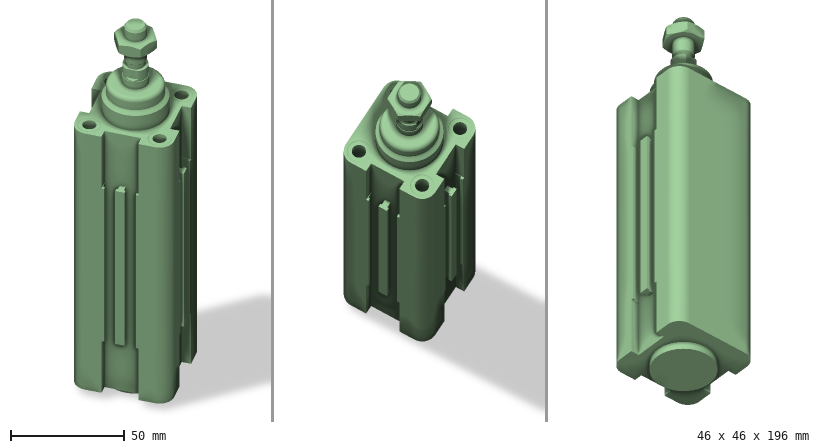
import cadquery as cq
import math

total_height = 196.0
boss_height = 4.0
cap_height = 29.0
barrel_height = 86.0
collar_height = 16.0
rear_cap_base = boss_height
barrel_base = rear_cap_base + cap_height
front_cap_base = barrel_base + barrel_height
front_cap_top = front_cap_base + cap_height
collar_top = front_cap_top + collar_height

body_width = 46.0
screw_pitch = 32.5
corner_radius = (body_width - screw_pitch) / 2
slot_depth = 4.3
cap_slot_width = 17.0
slot_sides = (0, 90, -90)

barrel_slot_width = 16.5
slot_mouth_width = 14.7
lip_thickness = 1.4
rail_head_width = 4.3
rail_neck_width = 2.7
rail_head_thickness = 1.5

boss_diameter = 30.0
collar_diameter = 26.0
collar_shoulder_height = 8.2
collar_taper_height = 1.8
collar_fillet = 2.0

screw_ring_diameter = 10.5
screw_ring_depth = 0.2
screw_ring_floor_diameter = 10.0
screw_hole_diameter = 6.3
screw_hole_depth = 15.7
drill_point_angle = 118.0

rod_diameter = 12.0
shank_diameter = 11.5
shank_base = 168.2
flats_base = 169.3
shank_top = 174.0
flats_width = 10.0
relief_diameter = 8.8
thread_base = 177.0
thread_diameter = 10.0
thread_chamfer = (thread_diameter - relief_diameter) / 2
tip_chamfer = 0.8
tip_chamfer_height = 1.2

nut_width = 17.0
nut_base = 184.0
nut_height = 5.9
nut_chamfer_angle = 30.0


def square_bar(base, height):
    bar = cq.Workplane("XY", origin=(0, 0, base)).rect(body_width, body_width).extrude(height)
    return bar.edges("|Z").fillet(corner_radius)


def cut_on_slot_sides(bar, cutter):
    for turn in slot_sides:
        bar = bar.cut(cutter.rotate((0, 0, 0), (0, 0, 1), turn))
    return bar


def slot_block(width, depth_from, depth_to, base, height):
    """Block along Z centred on the -Y side, between two depths below that side."""
    return (
        cq.Workplane("XY", origin=(0, 0, base))
        .center(0, -body_width / 2 + (depth_from + depth_to) / 2)
        .rect(width, depth_to - depth_from)
        .extrude(height)
    )


def make_cap(base):
    slot = slot_block(cap_slot_width, 0, slot_depth, base, cap_height)
    return cut_on_slot_sides(square_bar(base, cap_height), slot)


def make_rear_cap():
    boss = cq.Workplane("XY").circle(boss_diameter / 2).extrude(boss_height)
    return make_cap(rear_cap_base).union(boss)


def make_collar():
    shoulder_top = front_cap_top + collar_shoulder_height
    profile = [
        (0, front_cap_top),
        (boss_diameter / 2, front_cap_top),
        (boss_diameter / 2, shoulder_top),
        (collar_diameter / 2, shoulder_top + collar_taper_height),
        (collar_diameter / 2, collar_top),
        (0, collar_top),
    ]
    collar = cq.Workplane("XZ").polyline(profile).close().revolve(360, (0, 0), (0, 1))
    return collar.faces(">Z").edges().fillet(collar_fillet)


def make_screw_hole():
    """Drilled hole with a conical end and a shallow bevelled spot face, centred on the Z axis."""
    hole_radius = screw_hole_diameter / 2
    point_height = hole_radius / math.tan(math.radians(drill_point_angle / 2))
    hole_end = front_cap_top - screw_hole_depth
    profile = [
        (0, front_cap_top),
        (screw_ring_diameter / 2, front_cap_top),
        (screw_ring_floor_diameter / 2, front_cap_top - screw_ring_depth),
        (hole_radius, front_cap_top - screw_ring_depth),
        (hole_radius, hole_end),
        (0, hole_end - point_height),
    ]
    return cq.Workplane("XZ").polyline(profile).close().revolve(360, (0, 0), (0, 1))


def make_front_cap():
    cap = make_cap(front_cap_base).union(make_collar())
    screw_hole = make_screw_hole()
    for x in (-screw_pitch / 2, screw_pitch / 2):
        for y in (-screw_pitch / 2, screw_pitch / 2):
            cap = cap.cut(screw_hole.translate((x, y, 0)))
    rod_bore = (
        cq.Workplane("XY", origin=(0, 0, front_cap_base))
        .circle(rod_diameter / 2)
        .extrude(collar_top - front_cap_base)
    )
    return cap.cut(rod_bore)


def make_barrel():
    mouth = slot_block(slot_mouth_width, 0, lip_thickness, barrel_base, barrel_height)
    groove = slot_block(barrel_slot_width, lip_thickness, slot_depth, barrel_base, barrel_height)
    rail_head = slot_block(rail_head_width, 0, rail_head_thickness, barrel_base, barrel_height)
    rail_neck = slot_block(rail_neck_width, 0, slot_depth, barrel_base, barrel_height)
    cutter = mouth.union(groove).cut(rail_head).cut(rail_neck)
    return cut_on_slot_sides(square_bar(barrel_base, barrel_height), cutter)


def make_flat_cutter():
    """Cutter for the wrench flat facing +Y, with a 45 degree run-out at its lower end."""
    flat_y = flats_width / 2
    runout = (shank_diameter - flats_width) / 2
    profile = [
        (flat_y, shank_top),
        (flat_y, flats_base),
        (flat_y + runout, flats_base - runout),
        (flat_y + runout, shank_top),
    ]
    return cq.Workplane("YZ").polyline(profile).close().extrude(shank_diameter / 2, both=True)


def make_rod():
    rod_radius = rod_diameter / 2
    shank_radius = shank_diameter / 2
    relief_radius = relief_diameter / 2
    thread_radius = thread_diameter / 2
    profile = [
        (0, front_cap_base),
        (rod_radius, front_cap_base),
        (rod_radius, shank_base),
        (shank_radius, shank_base),
        (shank_radius, shank_top),
        (relief_radius, shank_top),
        (relief_radius, thread_base - thread_chamfer),
        (thread_radius, thread_base),
        (thread_radius, total_height - tip_chamfer_height),
        (thread_radius - tip_chamfer, total_height),
        (0, total_height),
    ]
    rod = cq.Workplane("XZ").polyline(profile).close().revolve(360, (0, 0), (0, 1))
    flat_cutter = make_flat_cutter()
    return rod.cut(flat_cutter).cut(flat_cutter.mirror("XZ"))


def make_nut():
    """Hexagon nut with two flats facing -Y and +Y and both ends bevelled at the corners."""
    corner_width = nut_width / math.cos(math.radians(30))
    bevel_height = (corner_width - nut_width) / 2 * math.tan(math.radians(nut_chamfer_angle))
    nut_top = nut_base + nut_height
    hexagon = (
        cq.Workplane("XY", origin=(0, 0, nut_base))
        .polygon(6, corner_width)
        .circle(thread_diameter / 2)
        .extrude(nut_height)
    )
    bevel_profile = [
        (0, nut_base),
        (nut_width / 2, nut_base),
        (corner_width / 2, nut_base + bevel_height),
        (corner_width / 2, nut_top - bevel_height),
        (nut_width / 2, nut_top),
        (0, nut_top),
    ]
    envelope = cq.Workplane("XZ").polyline(bevel_profile).close().revolve(360, (0, 0), (0, 1))
    return hexagon.intersect(envelope)


rear_cap = make_rear_cap()
barrel = make_barrel()
front_cap = make_front_cap()
rod = make_rod()
nut = make_nut()

result = cq.Compound.makeCompound(
    [rear_cap.val(), barrel.val(), front_cap.val(), rod.val(), nut.val()]
)